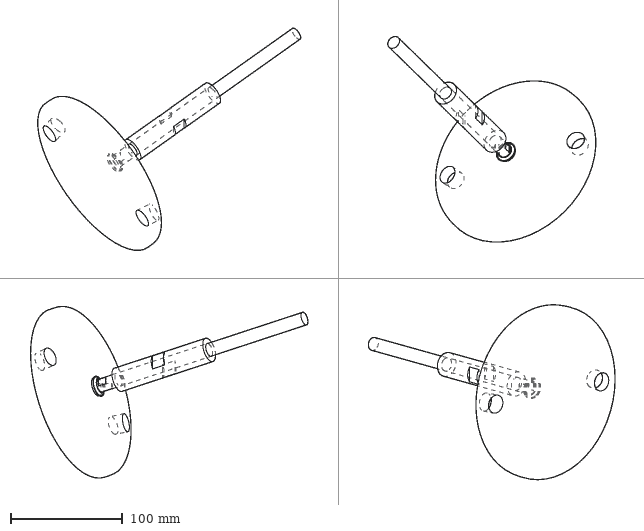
import cadquery as cq
import math


foot_dia = 158.0
rim_taper_start = 4.0
rim_top_dia = 157.5
floor_edge_fillet = 0.7
rim_top = 9.8
rim_fillet = 2.9
cone_top = 21.0
cone_top_dia = 21.5
neck_dia = 17.2
neck_top = 23.0

screw_hole_dia = 16.5
screw_hole_spacing = 125.2

overall_length = 239.0
rod_dia = 12.0
sleeve_dia = 22.0
sleeve_bottom = 44.0
sleeve_top = 139.0
collar_dia = 18.6
collar_rim = 0.5
collar_top_dia = 13.5
collar_top = 24.9

sleeve_flat_bottom = 85.0
sleeve_flat_length = 12.7
sleeve_flat_width = 17.2
stem_flat_bottom = 26.3
stem_flat_length = 7.6
stem_flat_width = 9.8


def cylinder(diameter, bottom, top):
    """Cylinder on the Y axis between two heights."""
    disc = cq.Workplane("XZ", origin=(0, bottom, 0)).circle(diameter / 2)
    return disc.extrude(bottom - top)


def screw_holes():
    """Two cutters side by side along X, each leaning outward, square to the cone."""
    cone_angle = math.degrees(math.atan2(cone_top - rim_top, (rim_top_dia - cone_top_dia) / 2))
    drill = cylinder(screw_hole_dia, -cone_top, 2 * cone_top)
    holes = cq.Workplane("XY")
    for side in (-1, 1):
        leaning = drill.rotate((0, 0, 0), (0, 0, 1), -side * cone_angle)
        holes = holes.add(leaning.translate((side * screw_hole_spacing / 2, 0, 0)))
    return holes.combine()


def wrench_flats(diameter, width, bottom, length):
    """Cutter that leaves a shaft with the given width across its flats."""
    middle = bottom + length / 2
    block = cq.Workplane("XY", origin=(0, middle, 0)).box(2 * diameter, length, 2 * diameter)
    core = cq.Workplane("XY", origin=(0, middle, 0)).box(width, length, 2 * diameter)
    return block.cut(core)


def make_foot():
    body = (
        cq.Workplane("XY")
        .moveTo(0, 0)
        .lineTo(foot_dia / 2, 0)
        .lineTo(foot_dia / 2, rim_taper_start)
        .lineTo(rim_top_dia / 2, rim_top)
        .lineTo(cone_top_dia / 2, cone_top)
        .lineTo(0, cone_top)
        .close()
        .revolve(360, (0, 0, 0), (0, 1, 0))
    )
    rim_edge = cq.selectors.BoxSelector(
        (-foot_dia, rim_top - 0.2, -foot_dia),
        (foot_dia, rim_top + 0.2, foot_dia),
        boundingbox=True,
    )
    body = body.edges(rim_edge).fillet(rim_fillet)
    body = body.faces("<Y").edges().fillet(floor_edge_fillet)
    return body.union(cylinder(neck_dia, cone_top, neck_top)).cut(screw_holes())


def make_spindle():
    collar = (
        cq.Workplane("XY")
        .moveTo(0, neck_top)
        .lineTo(collar_dia / 2, neck_top)
        .lineTo(collar_dia / 2, neck_top + collar_rim)
        .lineTo(collar_top_dia / 2, collar_top)
        .lineTo(0, collar_top)
        .close()
        .revolve(360, (0, 0, 0), (0, 1, 0))
    )
    rod = cylinder(rod_dia, neck_top, overall_length)
    flats = wrench_flats(rod_dia, stem_flat_width, stem_flat_bottom, stem_flat_length)
    return rod.union(collar).cut(flats)


def make_sleeve():
    """Tube fitted around the spindle."""
    tube = cylinder(sleeve_dia, sleeve_bottom, sleeve_top).cut(cylinder(rod_dia, sleeve_bottom, sleeve_top))
    return tube.cut(wrench_flats(sleeve_dia, sleeve_flat_width, sleeve_flat_bottom, sleeve_flat_length))


foot = make_foot()
spindle = make_spindle()
sleeve = make_sleeve()

result = cq.Compound.makeCompound([body.solids().val() for body in (foot, spindle, sleeve)])